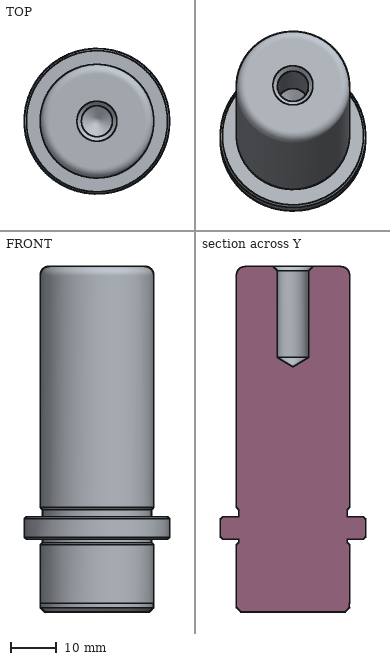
import cadquery as cq
import math

total_height = 76.0
flange_bottom = 16.0
flange_thickness = 5.0
flange_top = flange_bottom + flange_thickness

shaft_radius = 25.0 / 2
flange_radius = 32.0 / 2
groove_depth = 0.5
groove_radius = shaft_radius - groove_depth

lower_groove_width = 1.2
upper_groove_width = 2.0

top_fillet = 2.0
flange_chamfer = 0.5
bottom_chamfer = 1.0

lead_in_height = 2.0
lead_in_relief = 0.02
lead_in_radius = shaft_radius - lead_in_relief

hole_radius = 6.8 / 2
hole_mouth_radius = 8.8 / 2
hole_mouth_depth = hole_mouth_radius - hole_radius
hole_depth = 20.0
drill_point_angle = 118.0


def make_post():
    """Revolve the stepped outline of the post about the Z axis."""
    lower_groove_bottom = flange_bottom - lower_groove_width
    upper_groove_top = flange_top + upper_groove_width
    flange_flat_radius = flange_radius - flange_chamfer
    fillet_centre_radius = shaft_radius - top_fillet
    fillet_bottom = total_height - top_fillet
    fillet_reach = top_fillet * math.sqrt(0.5)
    return (
        cq.Workplane("XZ")
        .lineTo(lead_in_radius - bottom_chamfer, 0)
        .lineTo(lead_in_radius, bottom_chamfer)
        .lineTo(lead_in_radius, lead_in_height)
        .lineTo(shaft_radius, lead_in_height)
        .lineTo(shaft_radius, lower_groove_bottom)
        .lineTo(groove_radius, lower_groove_bottom + groove_depth)
        .lineTo(groove_radius, flange_bottom)
        .lineTo(flange_flat_radius, flange_bottom)
        .lineTo(flange_radius, flange_bottom + flange_chamfer)
        .lineTo(flange_radius, flange_top - flange_chamfer)
        .lineTo(flange_flat_radius, flange_top)
        .lineTo(groove_radius, flange_top)
        .lineTo(groove_radius, upper_groove_top - groove_depth)
        .lineTo(shaft_radius, upper_groove_top)
        .lineTo(shaft_radius, fillet_bottom)
        .threePointArc(
            (fillet_centre_radius + fillet_reach, fillet_bottom + fillet_reach),
            (fillet_centre_radius, total_height),
        )
        .lineTo(0, total_height)
        .close()
        .revolve()
    )


def make_hole():
    """Revolve the countersunk hole with its conical drill point."""
    hole_bottom = total_height - hole_depth
    point_height = hole_radius / math.tan(math.radians(drill_point_angle / 2))
    return (
        cq.Workplane("XZ")
        .moveTo(0, total_height)
        .lineTo(hole_mouth_radius, total_height)
        .lineTo(hole_radius, total_height - hole_mouth_depth)
        .lineTo(hole_radius, hole_bottom)
        .lineTo(0, hole_bottom - point_height)
        .close()
        .revolve()
    )


result = make_post().cut(make_hole())